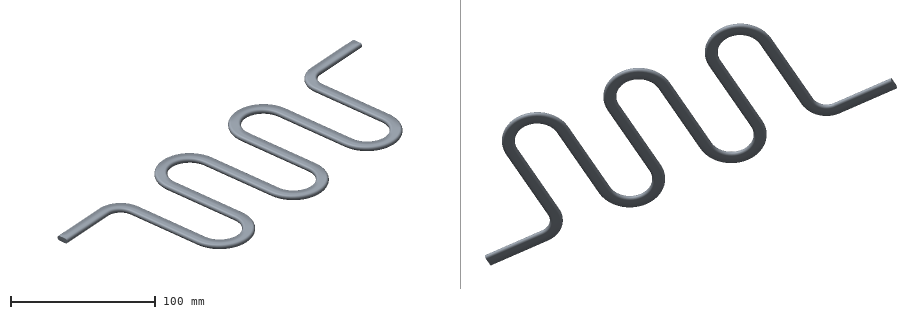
import cadquery as cq
import math

length = 320.0
bar_width = 9.0
bar_height = 4.0

run_count = 6
run_pitch = 40.0
run_length = 60.0
corner_radius = 15.0

bend_radius = run_pitch / 2
half_run = run_length / 2
half_length = length / 2
first_run_y = -run_pitch * (run_count - 1) / 2
last_run_y = -first_run_y
leg_x = -half_run - corner_radius
corner_inset = corner_radius * (1 - math.sqrt(0.5))


def make_centreline():
    """Bottom leg, parallel runs joined by alternating U-bends, then top leg."""
    path = (
        cq.Workplane("XY")
        .moveTo(leg_x, -half_length)
        .lineTo(leg_x, first_run_y - corner_radius)
        .threePointArc(
            (leg_x + corner_inset, first_run_y - corner_inset),
            (-half_run, first_run_y),
        )
    )
    for run in range(run_count):
        side = 1 if run % 2 == 0 else -1
        run_y = first_run_y + run * run_pitch
        path = path.lineTo(side * half_run, run_y)
        if run < run_count - 1:
            path = path.threePointArc(
                (side * (half_run + bend_radius), run_y + bend_radius),
                (side * half_run, run_y + run_pitch),
            )
    return path.threePointArc(
        (leg_x + corner_inset, last_run_y + corner_inset),
        (leg_x, last_run_y + corner_radius),
    ).lineTo(leg_x, half_length)


section = cq.Workplane("XZ", origin=(leg_x, -half_length, 0)).slot2D(bar_width, bar_height)
result = section.sweep(make_centreline())